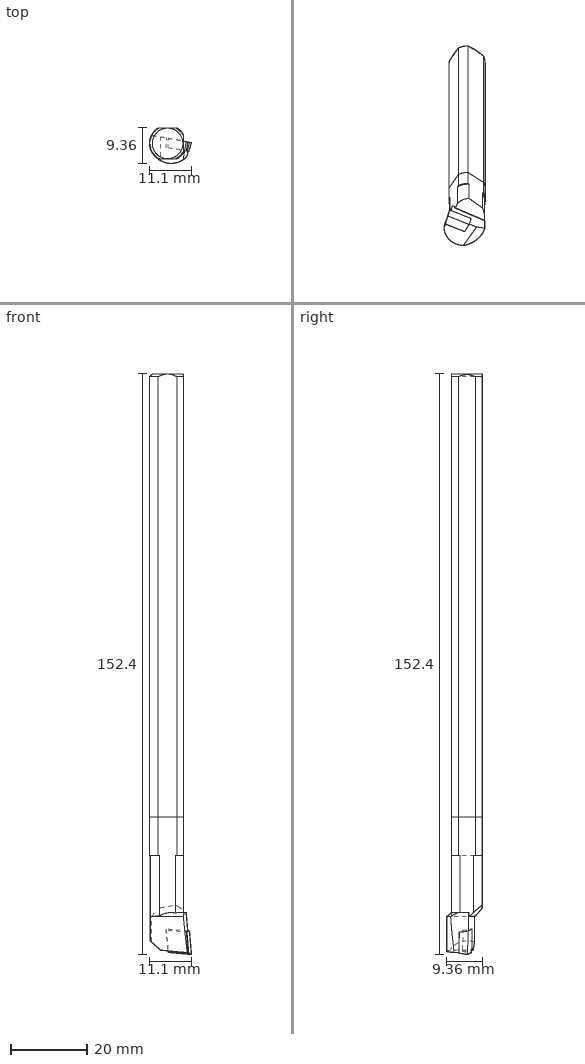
import cadquery as cq
import math

total_width = 11.07
total_depth = 9.36
total_length = 152.36
shank_bottom = 36.1
neck_top = 26.0

shank_radius = 9.525 / 2
neck_radius = 4.57
flat_distance = 4.07
side_flat_distance = 4.22
end_chamfer = 0.75

head_radius = 5.5
head_front_y = flat_distance - total_depth
head_center = (head_radius - neck_radius, head_front_y + head_radius)
head_shoulder = 10.0
head_cone_height = 1.1
head_cone_width = 1.3
head_relief_angle = 0.5
head_flank_setback = 0.45
heel_height = 3.6
heel_angle = 42.0
flank_depth = 2 * head_radius

tip_x = total_width - shank_radius
tip_y = 0.2
rake_angle = 10.0
insert_edge = 6.2
insert_thickness = 2.38
insert_corner_angle = 80.0
insert_relief_angle = 7.0
lead_angle = (90.0 - insert_corner_angle) / 2

gullet_slope = 45.0
gullet_shoulder = 9.9

block = 40.0

rake_plane = cq.Plane(
    origin=(tip_x, tip_y, 0),
    xDir=(-math.cos(math.radians(rake_angle)), math.sin(math.radians(rake_angle)), 0),
    normal=(math.sin(math.radians(rake_angle)), math.cos(math.radians(rake_angle)), 0),
)


def round_bar(radius, bottom, top):
    return cq.Workplane("XY").workplane(offset=bottom).circle(radius).extrude(top - bottom)


def cut_flats(bar):
    """Trim a round bar with flats on -Y, +Y and +X."""
    flats = (
        cq.Workplane("XY")
        .center((side_flat_distance - block) / 2, 0)
        .rect(side_flat_distance + block, 2 * flat_distance)
        .extrude(total_length)
    )
    return bar.intersect(flats)


def relieved_rhombus(edge, setback, depth, relief_angle):
    """Block under the rake plane, narrowing with depth so that its flanks clear the work.

    Its rhombic outline has both cutting edges moved in from the tip by the setback.
    """
    lead = math.radians(lead_angle)
    corner = math.radians(insert_corner_angle)
    front = (math.cos(lead), math.sin(lead))
    side = (math.sin(lead), math.cos(lead))
    diagonal = (front[0] + side[0], front[1] + side[1])
    shift = setback / math.sin(corner)
    return (
        cq.Workplane(rake_plane)
        .moveTo(shift * diagonal[0], shift * diagonal[1])
        .line(edge * front[0], edge * front[1])
        .line(edge * side[0], edge * side[1])
        .line(-edge * front[0], -edge * front[1])
        .close()
        .extrude(-depth, taper=relief_angle)
    )


def make_shank():
    bar = round_bar(shank_radius, shank_bottom, total_length)
    return cut_flats(bar.faces(">Z").chamfer(end_chamfer))


def make_insert():
    return relieved_rhombus(insert_edge, 0, insert_thickness, insert_relief_angle)


def make_cutting_head():
    """Cylinder with a conical shoulder, trimmed by the cutting flanks and the heel chamfer."""
    head = (
        cq.Workplane("XY")
        .center(*head_center)
        .circle(head_radius)
        .extrude(head_shoulder + head_cone_height)
        .faces(">Z")
        .chamfer(head_cone_height, head_cone_width)
    )
    flanks = relieved_rhombus(block, head_flank_setback, flank_depth, head_relief_angle)
    heel_drop = block * math.tan(math.radians(heel_angle))
    heel = (
        cq.Workplane("XZ")
        .moveTo(-neck_radius, heel_height)
        .line(block, -heel_drop)
        .line(-block, 0)
        .close()
        .extrude(block, both=True)
    )
    return head.intersect(flanks).cut(heel)


def make_gullet():
    """Space above the rake face, closed at the top by a slope up towards +Y."""
    profile_plane = cq.Plane(
        origin=rake_plane.origin.toTuple(),
        xDir=rake_plane.zDir.toTuple(),
        normal=rake_plane.xDir.multiply(-1).toTuple(),
    )
    slope_rise = block * math.tan(math.radians(gullet_slope))
    return (
        cq.Workplane(profile_plane)
        .moveTo(0, -block)
        .lineTo(0, gullet_shoulder)
        .line(block, slope_rise)
        .lineTo(block, -block)
        .close()
        .extrude(block, both=True)
    )


def make_holder(insert):
    shank_end = cut_flats(round_bar(shank_radius, neck_top, shank_bottom))
    neck = cut_flats(round_bar(neck_radius, head_shoulder, neck_top))
    neck_and_head = neck.union(make_cutting_head()).cut(make_gullet())
    return shank_end.union(neck_and_head).cut(insert)


insert = make_insert()
shank = make_shank()
holder = make_holder(insert)
result = cq.Compound.makeCompound([shank.val(), holder.val(), insert.val()])